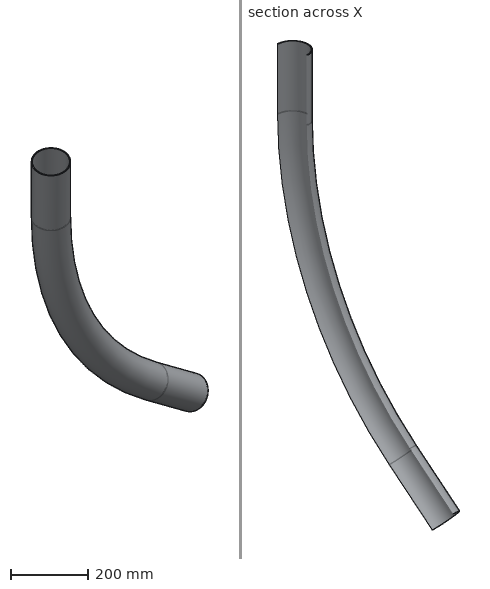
import cadquery as cq
import math

outer_diameter = 102.0
inner_diameter = 96.0
bend_angle = 45
end_length = 203.0
overall_height = 1245

sine = math.sin(math.radians(bend_angle))
cosine = math.cos(math.radians(bend_angle))
rim_drop = outer_diameter / 2 * sine
bend_radius = (overall_height - rim_drop - end_length * (1 + sine)) / sine

bend_start = (0, -end_length)
bend_middle = (
    bend_radius * (1 - math.cos(math.radians(bend_angle / 2))),
    -end_length - bend_radius * math.sin(math.radians(bend_angle / 2)),
)
bend_end = (bend_radius * (1 - cosine), -end_length - bend_radius * sine)
lower_end = (bend_end[0] + end_length * sine, bend_end[1] - end_length * cosine)

centreline = (
    cq.Workplane("YZ")
    .moveTo(0, 0)
    .lineTo(*bend_start)
    .threePointArc(bend_middle, bend_end)
    .lineTo(*lower_end)
)

result = (
    cq.Workplane("XY")
    .circle(outer_diameter / 2)
    .circle(inner_diameter / 2)
    .sweep(centreline)
)